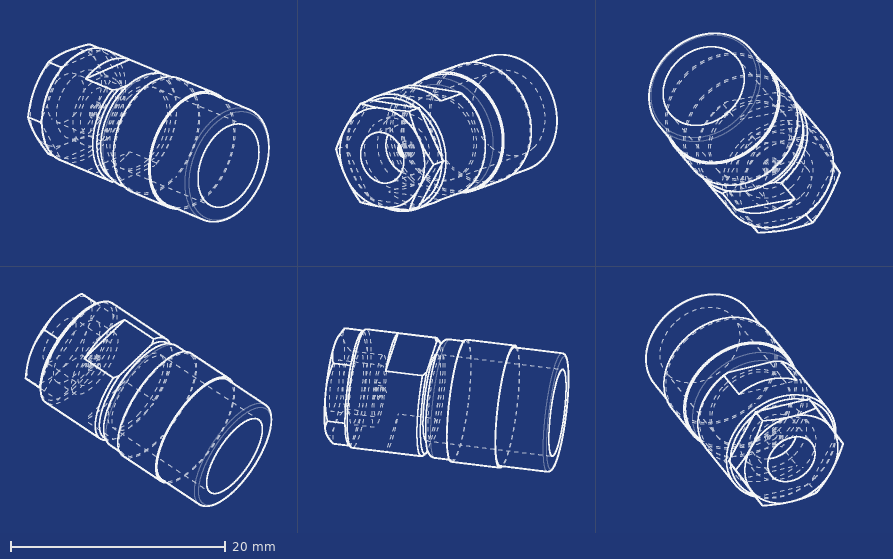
import cadquery as cq
import math


total_length = 21.23
barrel_radius = 5.58
wrench_size = 9.5

hex_length = 2.08
hex_corner_radius = wrench_size / math.sqrt(3)
nut_bevel_length = 0.45
cable_bore_radius = 2.42
spigot_radius = 3.4
spigot_end = 4.25

body_end = 9.25
body_bevel = 0.28
flats_start = 5.48
neck_radius = 4.08

contact_radius = 0.79
contact_length = 0.42
contact_mouth_radius = 0.62
contact_hole_radius = 0.5
contact_hole_depth = 0.64
drill_tip_angle = 90.0

coupling_start = 9.7
coupling_rear_fillet = 0.55
coupling_front_fillet = 0.28
band_start = 11.85
band_end = 16.45
band_radius = 5.75


def cylinder(start, end, radius):
    """Solid cylinder on the X axis between two stations."""
    return cq.Workplane("YZ", origin=(start, 0, 0)).circle(radius).extrude(end - start)


def revolve_profile(points):
    """Solid of revolution about X from (station, radius) points."""
    return cq.Workplane("XY").polyline(points).close().revolve(360, (0, 0, 0), (1, 0, 0))


def make_clamp_nut():
    """Hexagonal nut with a bevelled end face and a spigot that enters the body."""
    hexagon = cq.Workplane("YZ").polygon(6, 2 * hex_corner_radius).extrude(hex_length)
    bevel_envelope = revolve_profile([
        (0, 0),
        (0, wrench_size / 2),
        (nut_bevel_length, hex_corner_radius),
        (hex_length, hex_corner_radius),
        (hex_length, 0),
    ])
    spigot = cylinder(hex_length, spigot_end, spigot_radius)
    cable_bore = cylinder(0, spigot_end, cable_bore_radius)
    return hexagon.intersect(bevel_envelope).union(spigot).cut(cable_bore)


def make_contact_hole():
    """Bevelled blind hole in the contact, ending in a drill point."""
    mouth = spigot_end - contact_length
    mouth_bevel = contact_mouth_radius - contact_hole_radius
    hole_end = mouth + contact_hole_depth
    tip_length = contact_hole_radius / math.tan(math.radians(drill_tip_angle / 2))
    return revolve_profile([
        (mouth, 0),
        (mouth, contact_mouth_radius),
        (mouth + mouth_bevel, contact_hole_radius),
        (hole_end, contact_hole_radius),
        (hole_end + tip_length, 0),
    ])


def make_wrench_flat_cutter():
    """Material outside the two flats, above and below the axis."""
    flats_length = body_end - flats_start
    block = cq.Workplane("XY").box(
        flats_length, 2 * barrel_radius, 2 * barrel_radius, centered=(False, True, True)
    )
    kept = cq.Workplane("XY").box(
        flats_length, 2 * barrel_radius, wrench_size, centered=(False, True, True)
    )
    return block.cut(kept).translate((flats_start, 0, 0))


def make_body():
    """Barrel with two wrench flats, a rear socket, a contact and a long neck."""
    barrel = cylinder(hex_length, body_end, barrel_radius).edges().chamfer(body_bevel)
    barrel = barrel.cut(make_wrench_flat_cutter())
    socket = cylinder(hex_length, spigot_end, spigot_radius)
    neck = cylinder(body_end, total_length, neck_radius)
    contact = cylinder(spigot_end - contact_length, spigot_end, contact_radius)
    return barrel.cut(socket).union(neck).union(contact).cut(make_contact_hole())


def make_coupling():
    """Sleeve around the neck with rounded ends and a raised grip band."""
    sleeve = cylinder(coupling_start, total_length, barrel_radius)
    sleeve = sleeve.faces("<X").edges().fillet(coupling_rear_fillet)
    sleeve = sleeve.faces(">X").edges().fillet(coupling_front_fillet)
    grip_band = cylinder(band_start, band_end, band_radius)
    neck_bore = cylinder(coupling_start, total_length, neck_radius)
    return sleeve.union(grip_band).cut(neck_bore)


clamp_nut = make_clamp_nut()
body = make_body()
coupling = make_coupling()

result = cq.Compound.makeCompound([
    clamp_nut.solids().val(),
    body.solids().val(),
    coupling.solids().val(),
])